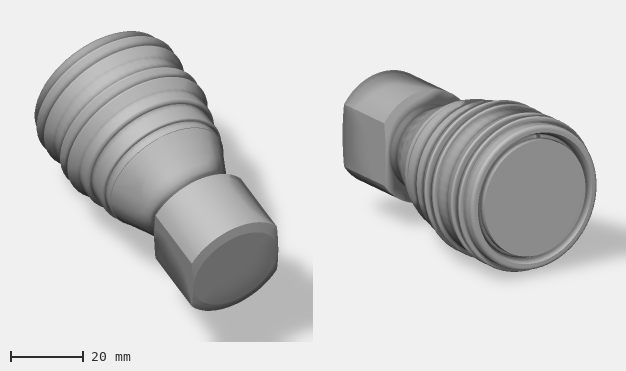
import cadquery as cq
import math

ARC_MID = 1 - math.sqrt(0.5)

length = 76.0
sleeve_end = 29.0
collar_end = 35.1
barrel_end = 37.7
neck_start = 50.9
nut_start = 54.0

front_radius = 41.5 / 2
ridge_radius = 44.4 / 2
band_radius = 42.0 / 2
rear_radius = 40.81 / 2
rim_fillet = 1.0
ridge_fillet = 0.5
shoulder_root = 0.2
valley_root = 0.6
ridge_pitch = 4.0
ridge_pairs = [
    (4.0, front_radius, 12.0, band_radius),
    (17.0, band_radius, 25.0, rear_radius),
]

collar_radius = 38.0 / 2
collar_fillet = 0.5
barrel_radius = 36.0 / 2
taper_radius = 35.6 / 2
neck_radius = 24.6 / 2
taper_sag = 0.12

nut_radius = 32.5 / 2
flat_width = 27.0
nut_chamfer_angle = math.radians(15)
nut_rear_chamfer_length = 0.8

mouth_radius = 37.6 / 2
cone_radius = 37.2 / 2
cone_start = 0.4
cone_angle = math.radians(20)
plug_radius = 33.25 / 2
plug_face = 0.0
cone_end = cone_start + (cone_radius - plug_radius) / math.tan(cone_angle)

ring_inner_radius = 33.55 / 2
ring_radius = 35.2 / 2
ring_face = 1.8
gap_centre = -2.45
gap_width = 1.4


def add_outer_fillet(path, x, radius, fillet):
    """Line along a cylinder and a quarter round down to its rear face at x."""
    mid = fillet * ARC_MID
    path = path.lineTo(x - fillet, radius)
    return path.threePointArc((x - mid, radius - mid), (x, radius - fillet))


def add_ridge(path, wall_x, base_radius, root, end_x, end_radius):
    """Rounded root starting at base_radius, steep wall, rounded crest and a slope tangent to the crest."""
    root_mid = root * ARC_MID
    path = path.threePointArc((wall_x - root_mid, base_radius + root_mid), (wall_x, base_radius + root))

    centre_x = wall_x + ridge_fillet
    centre_r = ridge_radius - ridge_fillet
    to_end_x = end_x - centre_x
    to_end_r = end_radius - centre_r
    tangent_angle = math.atan2(to_end_r, to_end_x) + math.acos(ridge_fillet / math.hypot(to_end_x, to_end_r))

    def crest_point(angle):
        return (centre_x + ridge_fillet * math.cos(angle), centre_r + ridge_fillet * math.sin(angle))

    path = path.lineTo(wall_x, centre_r)
    path = path.threePointArc(crest_point(math.pi / 2), crest_point(tangent_angle))
    return path.lineTo(end_x, end_radius)


def add_ridge_pair(path, wall_x, base_radius, end_x, end_radius):
    """Cylinder up to the first ridge, then two ridges with a rounded valley between them."""
    second_wall_x = wall_x + ridge_pitch
    path = path.lineTo(wall_x - shoulder_root, base_radius)
    path = add_ridge(path, wall_x, base_radius, shoulder_root, second_wall_x - valley_root, front_radius)
    return add_ridge(path, second_wall_x, front_radius, valley_root, end_x, end_radius)


def make_body():
    """Plug, socket mouth, sleeve, tapered shoulder and neck, turned about the X axis."""
    rim_mid = rim_fillet * ARC_MID
    path = (
        cq.Workplane("XY")
        .moveTo(plug_face, 0)
        .lineTo(plug_face, plug_radius)
        .lineTo(cone_end, plug_radius)
        .lineTo(cone_start, cone_radius)
        .lineTo(0, mouth_radius)
        .lineTo(0, front_radius - rim_fillet)
        .threePointArc((rim_mid, front_radius - rim_mid), (rim_fillet, front_radius))
    )
    for pair in ridge_pairs:
        path = add_ridge_pair(path, *pair)
    path = add_outer_fillet(path, sleeve_end, rear_radius, rim_fillet)
    path = path.lineTo(sleeve_end, collar_radius)
    path = add_outer_fillet(path, collar_end, collar_radius, collar_fillet)
    taper_mid = ((barrel_end + neck_start) / 2, (taper_radius + neck_radius) / 2 - taper_sag)
    path = (
        path.lineTo(collar_end, barrel_radius)
        .lineTo(barrel_end, barrel_radius)
        .lineTo(barrel_end, taper_radius)
        .threePointArc(taper_mid, (neck_start, neck_radius))
        .lineTo(nut_start, neck_radius)
        .lineTo(nut_start, 0)
        .close()
    )
    return path.revolve(360, (0, 0, 0), (1, 0, 0))


def make_snap_ring():
    """Split ring with a rounded front edge, held in the mouth cone with a small clearance to the plug."""
    edge = ring_radius - ring_inner_radius
    edge_mid = edge * ARC_MID
    ring = (
        cq.Workplane("XY")
        .moveTo(ring_face, ring_inner_radius)
        .threePointArc((ring_face + edge_mid, ring_radius - edge_mid), (ring_face + edge, ring_radius))
        .lineTo(cone_end, ring_radius)
        .lineTo(cone_end, ring_inner_radius)
        .close()
        .revolve(360, (0, 0, 0), (1, 0, 0))
    )
    gap = cq.Workplane("XY").box(2 * cone_end, gap_width, 2 * ring_radius, centered=(True, True, False))
    return ring.cut(gap.translate((0, gap_centre, 0)))


def make_nut():
    """Chamfered round nut with two parallel wrench flats facing -Y and +Y."""
    front_chamfer_end = nut_start + (nut_radius - neck_radius) * math.tan(nut_chamfer_angle)
    rear_chamfer_height = nut_rear_chamfer_length / math.tan(nut_chamfer_angle)
    nut = (
        cq.Workplane("XY")
        .moveTo(nut_start, 0)
        .lineTo(nut_start, neck_radius)
        .lineTo(front_chamfer_end, nut_radius)
        .lineTo(length - nut_rear_chamfer_length, nut_radius)
        .lineTo(length, nut_radius - rear_chamfer_height)
        .lineTo(length, 0)
        .close()
        .revolve(360, (0, 0, 0), (1, 0, 0))
    )
    flats = cq.Workplane("XY").box(2 * length, flat_width, 2 * nut_radius)
    return nut.intersect(flats)


result = make_body().union(make_snap_ring()).union(make_nut())